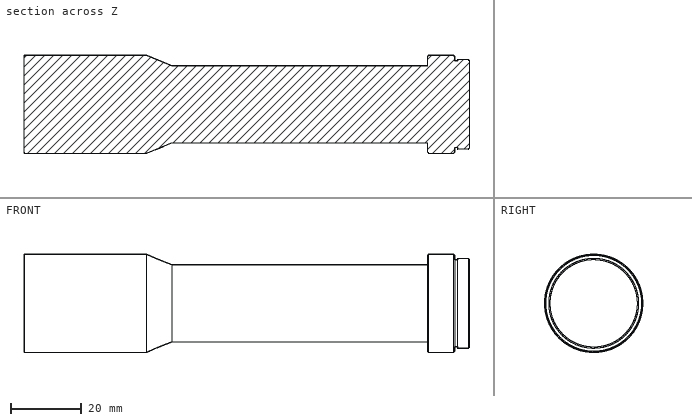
import cadquery as cq

total_length = 126.5
head_diameter = 28.0
head_length = 34.8
taper_length = 7.2
stem_diameter = 22.0
collar_diameter = head_diameter
collar_length = 7.8
neck_diameter = 24.8
neck_length = 0.8
spigot_diameter = 25.5
spigot_length = 3.4
edge_chamfer = 0.4
head_edge_chamfer = 0.19

taper_end = head_length + taper_length
spigot_start = total_length - spigot_length
collar_end = spigot_start - neck_length
collar_start = collar_end - collar_length


def cylinder(start, length, diameter):
    """Solid cylinder along +X beginning at the given station."""
    return cq.Workplane("YZ", origin=(start, 0, 0)).circle(diameter / 2).extrude(length)


def taper(start, length, start_diameter, end_diameter):
    """Solid cone frustum along +X."""
    return (
        cq.Workplane("YZ", origin=(start, 0, 0))
        .circle(start_diameter / 2)
        .workplane(offset=length)
        .circle(end_diameter / 2)
        .loft(ruled=True)
    )


head = cylinder(0, head_length, head_diameter).faces("<X").edges().chamfer(head_edge_chamfer)
shoulder = taper(head_length, taper_length, head_diameter, stem_diameter)
stem = cylinder(taper_end, collar_start - taper_end, stem_diameter)

collar = cylinder(collar_start, collar_length, collar_diameter).edges().chamfer(edge_chamfer)

neck = cylinder(collar_end, neck_length, neck_diameter)
spigot = cylinder(spigot_start, spigot_length, spigot_diameter).faces(">X").edges().chamfer(edge_chamfer)

result = head.union(shoulder).union(stem).union(collar).union(neck).union(spigot)